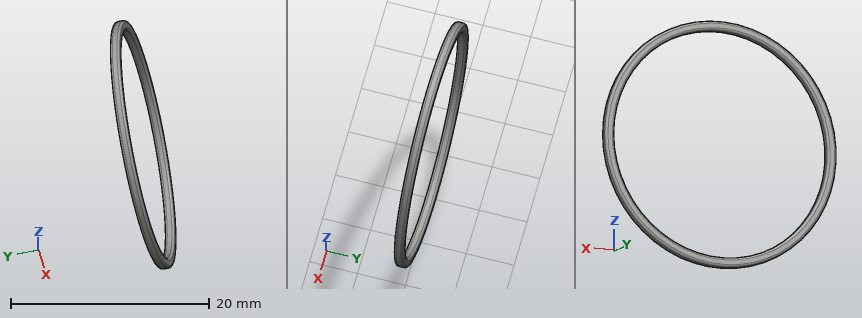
import cadquery as cq

outer_diameter = 25.4
section_size = 1.0
corner_radius = 0.25

outer_radius = outer_diameter / 2
inner_radius = outer_radius - section_size

ring = (
    cq.Workplane("XZ", origin=(0, section_size / 2, 0))
    .circle(outer_radius)
    .circle(inner_radius)
    .extrude(section_size)
)

result = ring.edges("%CIRCLE").fillet(corner_radius)